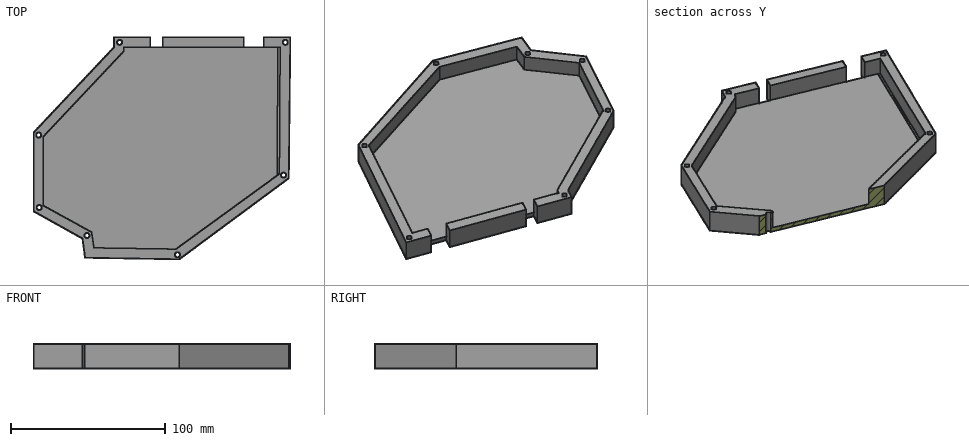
import cadquery as cq

length = 166.5
width = 144.0
height = 16.0
floor_thickness = 3.7
back_wall = 6.5
back_face = width - back_wall

relief_width = 1.5
relief_depth = 0.2

hole_diameter = 3.2

outer_corners = [
    (52.1, width),
    (52.1, back_face),
    (0, 82.3),
    (0, 31.1),
    (31.6, 13.5),
    (33.3, 1.0),
    (94.4, 0),
    (165.5, 52.6),
    (length, width),
]
right_inner_front = (159.3, 55.5)
right_inner_back = (159.8, back_face)
inner_corners = [
    (58.6, back_face),
    (58.6, 135.0),
    (6.2, 79.5),
    (6.2, 35.0),
    (37.6, 17.6),
    (39.1, 7.5),
    (92.2, 6.7),
    right_inner_front,
    right_inner_back,
]
hole_centers = [
    (55.8, 140.7),
    (3.3, 80.6),
    (3.7, 33.6),
    (34.6, 15.5),
    (93.2, 3.0),
    (162.0, 54.6),
    (163.2, 140.7),
]
back_openings = [(75.8, 83.5), (136.4, 149.2)]


def prism(corners, bottom, top):
    """Straight prism over a closed polygon, between two heights."""
    return cq.Workplane("XY").workplane(offset=bottom).polyline(corners).close().extrude(top - bottom)


def back_opening(left, right):
    """Full-height cutter that removes the back wall down to its inner face."""
    corners = [(left, back_face), (right, back_face), (right, width), (left, width)]
    return prism(corners, 0, height)


def floor_relief():
    """Narrow strip cutter just inside the right wall."""
    front_x, front_y = right_inner_front
    back_x, back_y = right_inner_back
    corners = [
        right_inner_front,
        right_inner_back,
        (back_x - relief_width, back_y),
        (front_x - relief_width, front_y),
    ]
    cutter = prism(corners, floor_thickness - relief_depth, height)
    return cutter.intersect(prism(inner_corners, 0, height))


tray = prism(outer_corners, 0, height)
tray = tray.cut(prism(inner_corners, floor_thickness, height))
tray = tray.cut(floor_relief())

for left, right in back_openings:
    tray = tray.cut(back_opening(left, right))

holes = cq.Workplane("XY").pushPoints(hole_centers).circle(hole_diameter / 2).extrude(height)
result = tray.cut(holes)